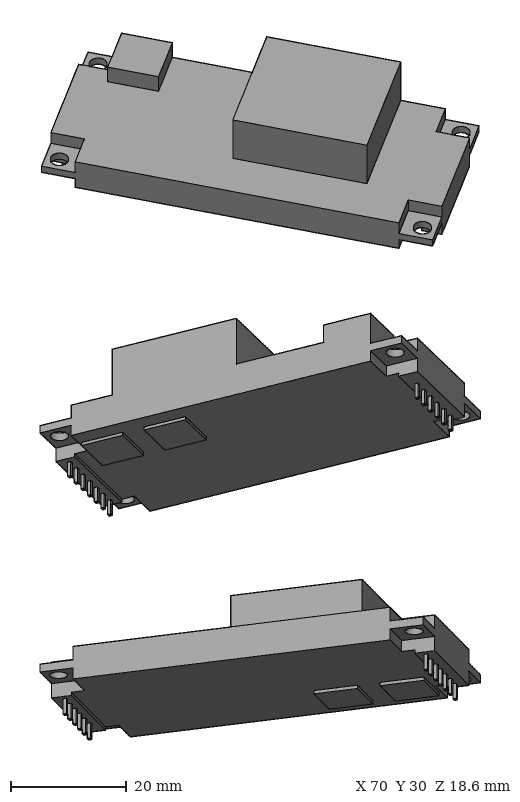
import cadquery as cq

length = 70.0
width = 30.0
body_height = 6.0
total_height = 18.6

corner_size = 6.0
tab_bottom = 2.0
tab_thickness = 1.5
tab_top = tab_bottom + tab_thickness
hole_diameter = 3.15
hole_inset = 2.5

small_block_length = 9.1
small_block_width = 8.95
small_block_height = 3.4
main_block_start = 32.0
main_block_length = 24.0
main_block_width = 21.9
main_block_height = 9.0

rail_length = 3.65
rail_height = 0.6
rail_width = width - 2 * corner_size
pad_size = 8.0
pad_starts = (43.4, 55.5)
pad_inset = 3.0

pin_size = 0.64
pin_row_span = 15.2
pin_inset = 2.0
pin_tip_chamfer = 0.195
pin_length = total_height - main_block_height - body_height - rail_height
pin_count = 7
pin_pitch = pin_row_span / (pin_count - 1)
right_pin_places = [slot * pin_pitch - pin_row_span / 2 for slot in range(pin_count)]
left_pin_places = right_pin_places[:-1]

x_min = -length / 2
y_max = width / 2


def box(x_start, y_end, z_start, size_x, size_y, size_z):
    """Box from its -X side, +Y side and underside."""
    block = cq.Workplane("XY").box(size_x, size_y, size_z, centered=False)
    return block.translate((x_start, y_end - size_y, z_start))


def corner_notches(z_start, height):
    """Square cutters filling the four corners of the body."""
    spacing_x = length - corner_size
    spacing_y = width - corner_size
    return (
        cq.Workplane("XY", origin=(0, 0, z_start))
        .rarray(spacing_x, spacing_y, 2, 2)
        .rect(corner_size, corner_size)
        .extrude(height)
    )


def body_with_tabs():
    body = cq.Workplane("XY").box(length, width, body_height, centered=(True, True, False))
    body = body.cut(corner_notches(0, tab_bottom))
    body = body.cut(corner_notches(tab_top, body_height - tab_top))
    holes = (
        cq.Workplane("XY")
        .rarray(length - 2 * hole_inset, width - 2 * hole_inset, 2, 2)
        .circle(hole_diameter / 2)
        .extrude(body_height)
    )
    return body.cut(holes)


def pin_row(x, places):
    """Row of pins along Y, hanging from a rail."""
    rail_underside = cq.Workplane("XY", origin=(x, 0, -rail_height))
    return (
        rail_underside.pushPoints([(0, y) for y in places])
        .rect(pin_size, pin_size)
        .extrude(-pin_length)
        .faces("<Z")
        .chamfer(pin_tip_chamfer)
    )


result = body_with_tabs()

result = result.union(
    box(x_min + corner_size, y_max, body_height, small_block_length, small_block_width, small_block_height)
)
result = result.union(
    box(x_min + main_block_start, y_max, body_height, main_block_length, main_block_width, main_block_height)
)

for rail_start in (x_min, -x_min - rail_length):
    result = result.union(
        box(rail_start, rail_width / 2, -rail_height, rail_length, rail_width, rail_height)
    )

for pad_start in pad_starts:
    result = result.union(
        box(x_min + pad_start, y_max - pad_inset, -rail_height, pad_size, pad_size, rail_height)
    )

result = result.union(pin_row(x_min + pin_inset, left_pin_places))
result = result.union(pin_row(-x_min - pin_inset, right_pin_places))